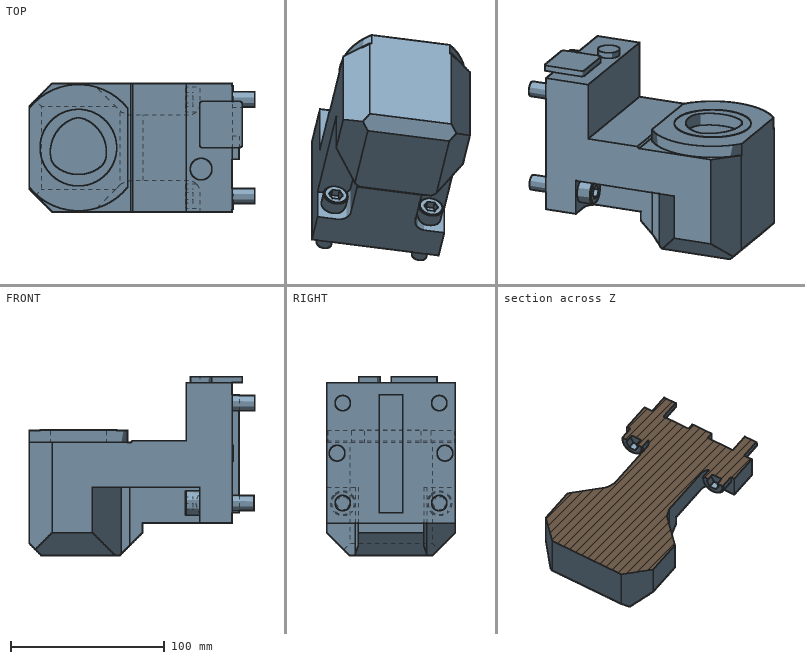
import cadquery as cq
import math

WIDTH = 84.0
OVERALL_LENGTH = 147.0
OVERALL_HEIGHT = 116.5

HEAD_LENGTH = 74.0
CORNER_CHAMFER = 15.0
NOSE_BASE_CHAMFER = 8.0
HEAD_TOP = 73.8
ARM_TOP = 75.0
ARM_STEP_X = 66.2
ARM_BOTTOM = 21.2

BLOCK_FRONT = 102.3
BLOCK_REAR = 132.3
BLOCK_TOP = 112.7

POCKET_TOP = 44.4
POCKET_START = 41.2
POCKET_BEVEL_END = 59.8
POCKET_FLAT_START = 65.5
POCKET_REAR = 111.1
POCKET_CORNER_RADIUS = 7.8
WEB_WIDTH = 42.6

FLANGE_LENGTH = 64.1
FLANGE_RADIUS = 41.2
FLANGE_TOP = 81.6
SPINDLE_X = FLANGE_LENGTH / 2
RING_RADIUS = 25.0
RING_RISE = 0.3
LOBE_OFFSET = 9.1
LOBE_RADIUS = 10.3
FLANK_OFFSET = 5.7

COVER_LENGTH = 28.0
COVER_WIDTH = 30.1
COVER_FRONT = 111.0
COVER_CORNER_RADIUS = 1.8
BUTTON_X = 112.0
BUTTON_Y = -14.0
BUTTON_RADIUS = 7.0

BOLT_RADIUS = 5.0
BOLT_Y = 31.5
UPPER_BOLT_Z = 99.4
LOWER_BOLT_Z = 34.3
LOWER_BOLT_END = 146.5
BOLT_HEAD_RADIUS = 8.1
BOLT_HEAD_LENGTH = 9.5
BOLT_HEAD_CHAMFER = 0.7
HEX_ACROSS_FLATS = 8.0
HEX_DEPTH = 5.0
KEY_WIDTH = 15.3
KEY_BOTTOM = 27.8
KEY_TOP = 105.0
KEY_PROJECTION = 4.5
SEAL_RADIUS = 5.1
SEAL_Y = 35.1
SEAL_Z = 66.7
SEAL_PROJECTION = 0.6


def x_cylinder(radius, x_start, x_end, y, z):
    """Cylinder running along X between two stations."""
    plane = cq.Plane(origin=(x_start, y, z), xDir=(0, 0, 1), normal=(1, 0, 0))
    return cq.Workplane(plane).circle(radius).extrude(x_end - x_start)


def make_head():
    """Tool head with chamfered nose and base edges."""
    head = cq.Workplane("XY").box(HEAD_LENGTH, WIDTH, HEAD_TOP, centered=(False, True, False))
    head = head.edges("|Z and <X").chamfer(CORNER_CHAMFER)

    rear_foot = HEAD_LENGTH - CORNER_CHAMFER
    side_outline = (
        cq.Workplane("XZ")
        .moveTo(0, HEAD_TOP)
        .lineTo(0, NOSE_BASE_CHAMFER)
        .lineTo(NOSE_BASE_CHAMFER, 0)
        .lineTo(rear_foot, 0)
        .lineTo(HEAD_LENGTH, CORNER_CHAMFER)
        .lineTo(HEAD_LENGTH, HEAD_TOP)
        .close()
        .extrude(WIDTH / 2, both=True)
    )
    half_width = WIDTH / 2
    half_foot = half_width - CORNER_CHAMFER
    end_outline = (
        cq.Workplane("YZ")
        .moveTo(-half_width, HEAD_TOP)
        .lineTo(-half_width, CORNER_CHAMFER)
        .lineTo(-half_foot, 0)
        .lineTo(half_foot, 0)
        .lineTo(half_width, CORNER_CHAMFER)
        .lineTo(half_width, HEAD_TOP)
        .close()
        .extrude(HEAD_LENGTH)
    )
    return head.intersect(side_outline).intersect(end_outline)


def make_arm_and_block():
    """Arm and upright mounting block, extruded across the full width."""
    ramp = ARM_TOP - HEAD_TOP
    overlap_x = HEAD_LENGTH - CORNER_CHAMFER
    return (
        cq.Workplane("XZ")
        .moveTo(overlap_x, ARM_BOTTOM)
        .lineTo(BLOCK_REAR, ARM_BOTTOM)
        .lineTo(BLOCK_REAR, BLOCK_TOP)
        .lineTo(BLOCK_FRONT, BLOCK_TOP)
        .lineTo(BLOCK_FRONT, ARM_TOP)
        .lineTo(ARM_STEP_X + ramp, ARM_TOP)
        .lineTo(ARM_STEP_X, HEAD_TOP)
        .lineTo(overlap_x, HEAD_TOP)
        .close()
        .extrude(WIDTH / 2, both=True)
    )


def make_pocket():
    """Pocket on the -Y side, open at the side and below."""
    side_y = -WIDTH / 2
    web_y = -WEB_WIDTH / 2
    bevel_y = side_y + POCKET_BEVEL_END - POCKET_START
    return (
        cq.Workplane("XY")
        .moveTo(POCKET_START, side_y)
        .lineTo(POCKET_BEVEL_END, bevel_y)
        .lineTo(POCKET_FLAT_START, web_y)
        .lineTo(POCKET_REAR - POCKET_CORNER_RADIUS, web_y)
        .radiusArc((POCKET_REAR, web_y - POCKET_CORNER_RADIUS), POCKET_CORNER_RADIUS)
        .lineTo(POCKET_REAR, side_y)
        .close()
        .extrude(POCKET_TOP)
    )


def make_flange():
    """Round flange with two flats and a slightly raised spindle ring."""
    disc = (
        cq.Workplane("XY", origin=(SPINDLE_X, 0, HEAD_TOP))
        .circle(FLANGE_RADIUS)
        .extrude(FLANGE_TOP - HEAD_TOP)
    )
    flats = cq.Workplane("XY").box(FLANGE_LENGTH, WIDTH, FLANGE_TOP, centered=(False, True, False))
    ring = (
        cq.Workplane("XY", origin=(SPINDLE_X, 0, HEAD_TOP))
        .circle(RING_RADIUS)
        .extrude(FLANGE_TOP + RING_RISE - HEAD_TOP)
    )
    return disc.intersect(flats).union(ring)


def make_lobed_socket():
    """Three-lobed prism: small lobe arcs joined by larger tangent flank arcs."""
    across = FLANK_OFFSET * math.sin(math.pi / 3)
    along = LOBE_OFFSET + FLANK_OFFSET * math.cos(math.pi / 3)
    flank_radius = LOBE_RADIUS + math.hypot(across, along)
    lobe_half_angle = math.degrees(math.atan2(across, along))

    def lobe_point(lobe_angle, turn):
        lobe = math.radians(lobe_angle)
        heading = math.radians(lobe_angle + turn)
        return (
            LOBE_OFFSET * math.cos(lobe) + LOBE_RADIUS * math.cos(heading),
            LOBE_OFFSET * math.sin(lobe) + LOBE_RADIUS * math.sin(heading),
        )

    outline = cq.Workplane("XY", origin=(SPINDLE_X, 0, HEAD_TOP))
    outline = outline.moveTo(*lobe_point(90, -lobe_half_angle))
    for angle in (90, 210, 330):
        outline = outline.threePointArc(lobe_point(angle, 0), lobe_point(angle, lobe_half_angle))
        outline = outline.radiusArc(lobe_point(angle + 120, -lobe_half_angle), -flank_radius)
    return outline.close().extrude(FLANGE_TOP + RING_RISE - HEAD_TOP)


def make_top_fittings():
    """Rounded cover plate and round button on the block top."""
    height = OVERALL_HEIGHT - BLOCK_TOP
    cover = (
        cq.Workplane("XY", origin=(COVER_FRONT, 0, BLOCK_TOP))
        .box(COVER_LENGTH, COVER_WIDTH, height, centered=False)
        .edges("|Z")
        .fillet(COVER_CORNER_RADIUS)
    )
    button = (
        cq.Workplane("XY", origin=(BUTTON_X, BUTTON_Y, BLOCK_TOP))
        .circle(BUTTON_RADIUS)
        .extrude(height)
    )
    return cover.union(button)


def make_lower_bolt(y):
    """Socket-head bolt seated on the rear wall of a pocket."""
    head_front = POCKET_REAR - BOLT_HEAD_LENGTH
    head = x_cylinder(BOLT_HEAD_RADIUS, head_front, POCKET_REAR, y, LOWER_BOLT_Z)
    head = head.faces("<X").chamfer(BOLT_HEAD_CHAMFER)
    hex_diameter = HEX_ACROSS_FLATS / math.cos(math.pi / 6)
    hex_plane = cq.Plane(origin=(head_front, y, LOWER_BOLT_Z), xDir=(0, 1, 0), normal=(1, 0, 0))
    hex_socket = cq.Workplane(hex_plane).polygon(6, hex_diameter).extrude(HEX_DEPTH)
    shank = x_cylinder(BOLT_RADIUS, POCKET_REAR, LOWER_BOLT_END, y, LOWER_BOLT_Z)
    return head.cut(hex_socket).union(shank)


def make_key():
    """Upright locating key on the rear face."""
    return cq.Workplane("XY", origin=(BLOCK_REAR, 0, KEY_BOTTOM)).box(
        KEY_PROJECTION, KEY_WIDTH, KEY_TOP - KEY_BOTTOM, centered=(False, True, False)
    )


pocket = make_pocket()
body = make_head().union(make_arm_and_block())
body = body.cut(pocket).cut(pocket.mirror("XZ"))
body = body.union(make_flange()).cut(make_lobed_socket())
body = body.union(make_top_fittings()).union(make_key())

seal_end = BLOCK_REAR + SEAL_PROJECTION
for side in (-1, 1):
    bolt_y = side * BOLT_Y
    body = body.union(x_cylinder(BOLT_RADIUS, POCKET_REAR, OVERALL_LENGTH, bolt_y, UPPER_BOLT_Z))
    body = body.union(make_lower_bolt(bolt_y))
    body = body.union(x_cylinder(SEAL_RADIUS, BLOCK_REAR, seal_end, side * SEAL_Y, SEAL_Z))

result = body